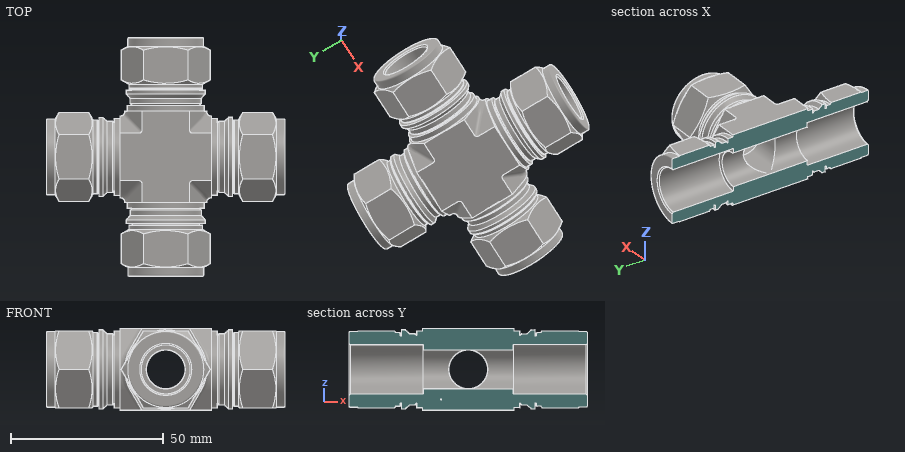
import cadquery as cq
import math

overall_length = 78.45
body_height = 27.0
body_length = 30.1
valley_radius = 1.3

nut_end_diameter = 25.0
nut_across_flats = 25.4
nut_skirt_diameter = 24.3
thread_diameter = 22.22
ring_diameter = 26.1
neck_diameter = 23.5
collar_diameter = 25.4

end_face = overall_length / 2
body_end = body_length / 2
collar_end = 16.95
neck_start = 17.5
neck_end = 19.27
ring_start = 20.7
ring_end = 21.95
skirt_start = 22.3
nut_inner = 23.85
nut_outer = 36.33

end_round = 0.5
skirt_taper_length = 0.3
skirt_taper_depth = 0.1
mouth_chamfer = 0.5
nut_chamfer_angle = math.radians(30)
tube_diameter = 16.1
tube_depth = 24.4
through_diameter = 12.7

HALF_HEXAGON_ANGLE = math.radians(30)
POSITION_TOLERANCE = 0.001
ARM_ANGLES = (0, 90, 180, 270)


def turned_to(shape, angle):
    """Copy of a shape turned about Z to point along one arm."""
    return shape.rotate((0, 0, 0), (0, 0, 1), angle)


def body_bar(direction_angle):
    """Bar through the centre: a hexagon whose two side corners are rounded to the inscribed circle."""
    radius = body_height / 2
    half_flat = radius * math.tan(HALF_HEXAGON_ANGLE)
    tangent_y = radius * math.cos(HALF_HEXAGON_ANGLE)
    tangent_z = radius * math.sin(HALF_HEXAGON_ANGLE)
    bar = (
        cq.Workplane("YZ")
        .moveTo(-half_flat, radius)
        .lineTo(half_flat, radius)
        .lineTo(tangent_y, tangent_z)
        .threePointArc((radius, 0), (tangent_y, -tangent_z))
        .lineTo(half_flat, -radius)
        .lineTo(-half_flat, -radius)
        .lineTo(-tangent_y, -tangent_z)
        .threePointArc((-radius, 0), (-tangent_y, tangent_z))
        .close()
        .extrude(body_end, both=True)
    )
    return turned_to(bar, direction_angle)


def lies_on_diagonal(edge):
    """True for an edge whose middle is equally far from the X and Y axes."""
    middle = edge.Center()
    return math.isclose(abs(middle.x), abs(middle.y), abs_tol=POSITION_TOLERANCE)


def cross_body():
    """Two crossing bars with the four valleys between them rounded."""
    cross = body_bar(0).union(body_bar(90))
    valleys = [edge for edge in cross.edges().vals() if lies_on_diagonal(edge)]
    return cross.newObject(valleys).fillet(valley_radius)


def turned_parts():
    """Collar, neck, flared ring, thread and nut skirt, revolved about X; the neck tapers in to the collar."""
    outline = [
        (0, 0),
        (0, thread_diameter / 2),
        (body_end, thread_diameter / 2),
        (body_end, collar_diameter / 2),
        (collar_end, collar_diameter / 2),
        (collar_end, thread_diameter / 2),
        (neck_start, neck_diameter / 2),
        (neck_end, neck_diameter / 2),
        (ring_start, ring_diameter / 2),
        (ring_end, ring_diameter / 2),
        (ring_end, thread_diameter / 2),
        (skirt_start, thread_diameter / 2),
        (skirt_start, nut_skirt_diameter / 2 - skirt_taper_depth),
        (skirt_start + skirt_taper_length, nut_skirt_diameter / 2),
        (nut_outer, nut_skirt_diameter / 2),
        (nut_outer, 0),
    ]
    return cq.Workplane("XY").polyline(outline).close().revolve(360, (0, 0, 0), (1, 0, 0))


def nut_end():
    """Plain round end of the nut with a rounded rim."""
    return (
        cq.Workplane("YZ", origin=(nut_outer, 0, 0))
        .circle(nut_end_diameter / 2)
        .extrude(end_face - nut_outer)
        .faces(">X")
        .edges()
        .fillet(end_round)
    )


def nut_hexagon():
    """Hexagon with both ends chamfered by cones."""
    corner_radius = nut_across_flats / 2 / math.cos(HALF_HEXAGON_ANGLE)
    hexagon = (
        cq.Workplane("YZ", origin=(nut_inner, 0, 0))
        .polygon(6, 2 * corner_radius)
        .extrude(nut_outer - nut_inner)
    )
    inner_rise = (corner_radius - nut_skirt_diameter / 2) * math.tan(nut_chamfer_angle)
    outer_rise = (corner_radius - nut_end_diameter / 2) * math.tan(nut_chamfer_angle)
    envelope = (
        cq.Workplane("XY")
        .moveTo(nut_inner, 0)
        .lineTo(nut_inner, nut_skirt_diameter / 2)
        .lineTo(nut_inner + inner_rise, corner_radius)
        .lineTo(nut_outer - outer_rise, corner_radius)
        .lineTo(nut_outer, nut_end_diameter / 2)
        .lineTo(nut_outer, 0)
        .close()
        .revolve(360, (0, 0, 0), (1, 0, 0))
    )
    return hexagon.intersect(envelope)


def arm_bore():
    """Tube socket with a chamfered mouth, stepping down to the flow passage."""
    tube_radius = tube_diameter / 2
    socket_bottom = end_face - tube_depth
    outline = [
        (0, 0),
        (0, through_diameter / 2),
        (socket_bottom, through_diameter / 2),
        (socket_bottom, tube_radius),
        (end_face - mouth_chamfer, tube_radius),
        (end_face, tube_radius + mouth_chamfer),
        (end_face, 0),
    ]
    return cq.Workplane("XY").polyline(outline).close().revolve(360, (0, 0, 0), (1, 0, 0))


fitting = turned_parts().union(nut_hexagon()).union(nut_end())
bore = arm_bore()

result = cross_body()
for arm_angle in ARM_ANGLES:
    result = result.union(turned_to(fitting, arm_angle))
for arm_angle in ARM_ANGLES:
    result = result.cut(turned_to(bore, arm_angle))